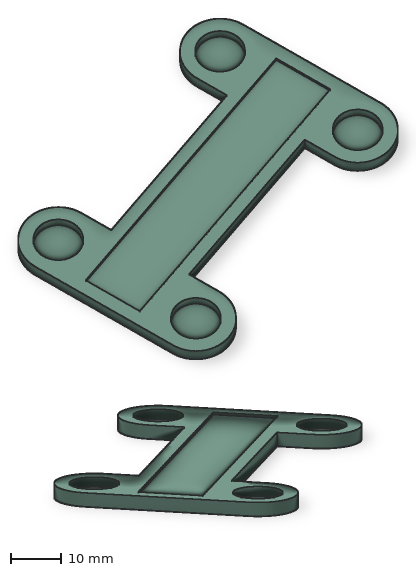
import cadquery as cq

length = 72.25
width = 49.5
thickness = 2.9

bar_width = 16.05
web_width = 18.9
bar_offset = (length - bar_width) / 2
end_offset = (width - bar_width) / 2

round_recess_diameter = 10.0
round_recess_depth = 2.0
channel_width = 13.15
channel_margin = 3.0
channel_length = length - 2 * channel_margin
channel_depth = 0.5


def make_plate():
    """I-shaped plate with its underside at Z = 0."""
    web = cq.Workplane("XY").rect(web_width, 2 * bar_offset).extrude(thickness)
    bars = (
        cq.Workplane("XY")
        .pushPoints([(0, -bar_offset), (0, bar_offset)])
        .slot2D(width, bar_width)
        .extrude(thickness)
    )
    return web.union(bars)


def make_round_recesses():
    """Blind round recesses, concentric with the bar ends."""
    return (
        cq.Workplane("XY", origin=(0, 0, thickness))
        .rect(2 * end_offset, 2 * bar_offset, forConstruction=True)
        .vertices()
        .circle(round_recess_diameter / 2)
        .extrude(-round_recess_depth)
    )


def make_channel():
    """Shallow rectangular recess along the web."""
    return (
        cq.Workplane("XY", origin=(0, 0, thickness))
        .rect(channel_width, channel_length)
        .extrude(-channel_depth)
    )


result = make_plate().cut(make_round_recesses()).cut(make_channel())